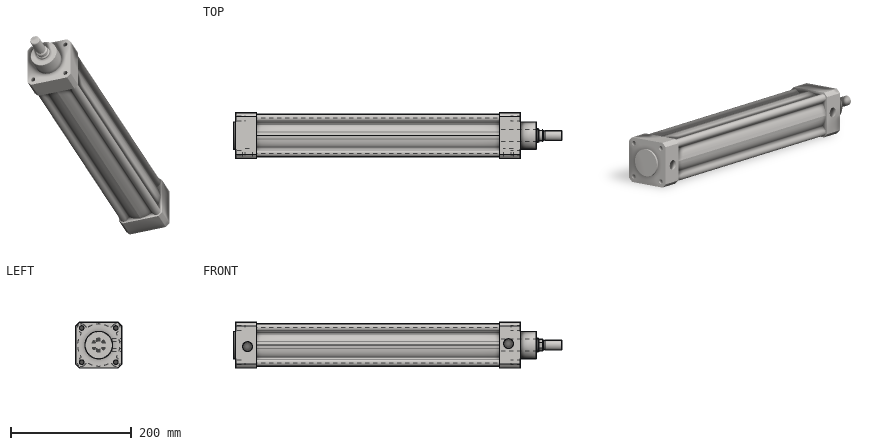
import cadquery as cq
import math


total_length = 544.0
pilot_length = 4.0
head_length = 35.0
rear_head_start = pilot_length
barrel_start = rear_head_start + head_length
barrel_end = 440.0
front_head_end = barrel_end + head_length
nose_end = 501.5
gland_end = 505.5
shaft_end = 513.0

head_width = 76.0
head_corner_radius = 49.5
pilot_radius = 23.0
gland_radius = 11.5
gland_chamfer = 1.0
nose_chamfer = 0.5
mount_hole_offset = 28.5
mount_hole_radius = 4.0
mount_hole_depth = 16.0
port_radius = 8.0
port_depth = 16.5
port_inset = 15.0
port_height = 2.45

tube_radius = 35.0
ridge_half_width = 6.0
lobe_offset = 29.0
lobe_radius = 6.5
lobe_root_fillet = 1.5
root_search_margin = 0.05

shaft_radius = 10.0
shaft_chamfer = 1.5
flat_distance = 8.5
thread_radius = 8.0
thread_relief_radius = 7.5
thread_relief_length = 2.5
thread_chamfer = 1.0


def cylinder_x(radius, start, end):
    """Solid cylinder on the X axis between two stations."""
    return cq.Workplane("YZ", origin=(start, 0, 0)).circle(radius).extrude(end - start)


def make_head(start, outer_x, port_x, port_z):
    """Square head with turned corners, mounting holes in its outer face and a port in its -Y side."""
    end = start + head_length
    head = cq.Workplane("YZ", origin=(start, 0, 0)).rect(head_width, head_width).extrude(head_length)
    head = head.intersect(cylinder_x(head_corner_radius, start, end))

    inward = 1 if outer_x == start else -1
    hole_spacing = 2 * mount_hole_offset
    holes = (
        cq.Workplane("YZ", origin=(outer_x, 0, 0))
        .rect(hole_spacing, hole_spacing, forConstruction=True)
        .vertices()
        .circle(mount_hole_radius)
        .extrude(inward * mount_hole_depth)
    )
    port = (
        cq.Workplane("XZ", origin=(port_x, -head_width / 2, port_z))
        .circle(port_radius)
        .extrude(-port_depth)
    )
    return head.cut(holes).cut(port)


def make_rear_head():
    """Rear head with its centring pilot."""
    head = make_head(rear_head_start, rear_head_start, barrel_start - port_inset, -port_height)
    return head.union(cylinder_x(pilot_radius, 0, rear_head_start))


def make_front_head():
    """Front head with its nose and gland, bored through for the rod."""
    head = make_head(barrel_end, front_head_end, barrel_end + port_inset, port_height)
    nose = cylinder_x(pilot_radius, front_head_end, nose_end).faces(">X").chamfer(nose_chamfer)
    gland = cylinder_x(gland_radius, nose_end, gland_end).faces(">X").chamfer(gland_chamfer)
    head = head.union(nose).union(gland)
    return head.cut(cylinder_x(shaft_radius, barrel_end, gland_end))


def make_barrel():
    """Extruded round tube with a low ridge on each side and a round lobe on each corner."""
    length = barrel_end - barrel_start
    barrel = cylinder_x(tube_radius, barrel_start, barrel_end)

    lobe_reach = lobe_offset * math.sqrt(2)
    lobe_bar = (
        cq.Workplane("YZ", origin=(barrel_start, 0, 0))
        .slot2D(2 * (lobe_reach + lobe_radius), 2 * lobe_radius)
        .extrude(length)
    )
    for angle in (45, 135):
        barrel = barrel.union(lobe_bar.rotate((0, 0, 0), (1, 0, 0), angle))

    root_distance = tube_radius + root_search_margin
    roots = [
        edge
        for edge in barrel.edges("|X").vals()
        if math.hypot(edge.Center().y, edge.Center().z) < root_distance
    ]
    barrel = barrel.newObject(roots).fillet(lobe_root_fillet)

    foot_height = math.sqrt(tube_radius**2 - ridge_half_width**2)
    apex_height = tube_radius**2 / foot_height
    ridge = (
        cq.Workplane("YZ", origin=(barrel_start, 0, 0))
        .moveTo(0, 0)
        .lineTo(ridge_half_width, foot_height)
        .lineTo(0, apex_height)
        .lineTo(-ridge_half_width, foot_height)
        .close()
        .extrude(length)
    )
    for angle in (0, 90, 180, 270):
        barrel = barrel.union(ridge.rotate((0, 0, 0), (1, 0, 0), angle))
    return barrel


def make_rod():
    """Piston rod with two wrench flats, a chamfered shoulder, a thread relief and a chamfered threaded end."""
    rod = cylinder_x(shaft_radius, barrel_end, shaft_end).faces(">X").chamfer(shaft_chamfer)
    flat_depth = shaft_radius - flat_distance
    flat_length = shaft_end - shaft_chamfer - gland_end
    for side in (-1, 1):
        flat = cq.Workplane("XY").box(flat_length, flat_depth, 2 * shaft_radius)
        flat_x = gland_end + flat_length / 2
        rod = rod.cut(flat.translate((flat_x, side * (flat_distance + flat_depth / 2), 0)))

    relief_end = shaft_end + thread_relief_length
    rod = rod.union(cylinder_x(thread_relief_radius, shaft_end, relief_end))
    thread = cylinder_x(thread_radius, relief_end, total_length)
    return rod.union(thread.faces(">X").chamfer(thread_chamfer))


rear_head = make_rear_head()
barrel = make_barrel()
front_head = make_front_head()
rod = make_rod()

result = cq.Compound.makeCompound([rear_head.val(), barrel.val(), front_head.val(), rod.val()])